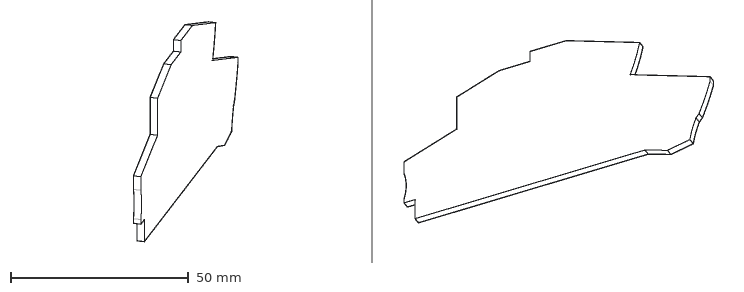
import cadquery as cq
import math

thickness = 2.2
length = 96.0
top_z = 46.9
slope = math.tan(math.radians(20))

notch_y = 3.5
notch_z = 6.7
hollow_bottom_z = 8.2
hollow_top_z = 17.1
hollow_depth = 0.7
low_end_top_z = 21.2

wall_y = 16.5
wall_top_z = 38.5
step_start_y = 29.9
step_y = 39.5
crest_end_y = 50.9
overhang_y = 73.9
overhang_root_y = 71.0
overhang_bulge_point = (72.7, 33.2)

high_end_top_z = 19.0
high_end_flat_z = 17.4
side_arc_middle = (94.5, 12.3)
side_arc_end = (92.6, 7.1)
foot_arc_start = (91.6, 6.0)
foot_arc_middle = (90.45, 2.5)
foot_corner = (89.7, -1.1)
foot_tip = (82.7, -2.5)
foot_end_y = 75.6

wall_bottom_z = low_end_top_z + wall_y * slope
step_z = wall_top_z + (step_start_y - wall_y) * slope
overhang_z = top_z - (overhang_y - crest_end_y) * slope
overhang_root_z = high_end_top_z + (length - overhang_root_y) * slope
hollow_middle_z = (hollow_bottom_z + hollow_top_z) / 2

outline = (
    cq.Workplane("YZ")
    .moveTo(notch_y, 0)
    .lineTo(notch_y, notch_z)
    .lineTo(0, notch_z)
    .lineTo(0, hollow_bottom_z)
    .threePointArc((hollow_depth, hollow_middle_z), (0, hollow_top_z))
    .lineTo(0, low_end_top_z)
    .lineTo(wall_y, wall_bottom_z)
    .lineTo(wall_y, wall_top_z)
    .lineTo(step_start_y, step_z)
    .lineTo(step_y, step_z)
    .lineTo(step_y, top_z)
    .lineTo(crest_end_y, top_z)
    .lineTo(overhang_y, overhang_z)
    .threePointArc(overhang_bulge_point, (overhang_root_y, overhang_root_z))
    .lineTo(length, high_end_top_z)
    .lineTo(length, high_end_flat_z)
    .threePointArc(side_arc_middle, side_arc_end)
    .lineTo(*foot_arc_start)
    .threePointArc(foot_arc_middle, foot_corner)
    .lineTo(*foot_tip)
    .lineTo(foot_end_y, 0)
    .close()
)

result = outline.extrude(thickness)